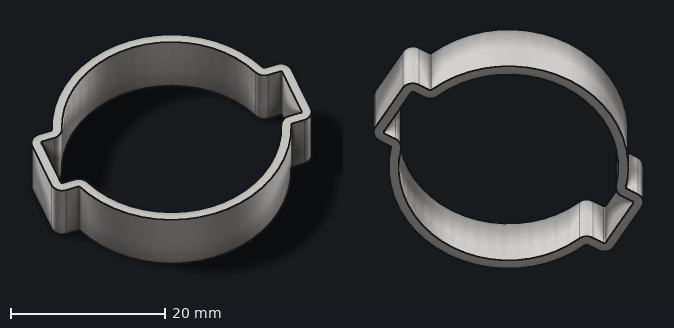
import cadquery as cq
import math

ring_diameter = 31.05
overall_length = 36.0
band_height = 9.0
wall = 1.3
ear_width = 10.0

tight_bend_radius = 0.2
wide_bend_radius = tight_bend_radius + wall


def clamp_body(diameter, width, length, root_radius, crown_radius):
    """Solid disc with two opposite ears, rounded at the ear roots and crowns."""
    disc = cq.Workplane("XY").circle(diameter / 2).extrude(band_height)
    ears = cq.Workplane("XY").rect(width, length).extrude(band_height)
    body = disc.union(ears)

    root_y = math.sqrt((diameter / 2) ** 2 - (width / 2) ** 2)
    ear_middle_y = (root_y + length / 2) / 2
    box_half_width = (diameter + width) / 4
    near_roots = cq.selectors.BoxSelector(
        (-box_half_width, -ear_middle_y, 0),
        (box_half_width, ear_middle_y, band_height),
    )
    body = body.edges("|Z").edges(near_roots).fillet(root_radius)

    for side in (-1, 1):
        near_crown = cq.selectors.BoxSelector(
            (-width, side * ear_middle_y, 0),
            (width, side * length, band_height),
        )
        body = body.edges("|Z").edges(near_crown).fillet(crown_radius)
    return body


outer_body = clamp_body(
    ring_diameter,
    ear_width,
    overall_length,
    root_radius=tight_bend_radius,
    crown_radius=wide_bend_radius,
)
inner_body = clamp_body(
    ring_diameter - 2 * wall,
    ear_width - 2 * wall,
    overall_length - 2 * wall,
    root_radius=wide_bend_radius,
    crown_radius=tight_bend_radius,
)

result = outer_body.cut(inner_body)